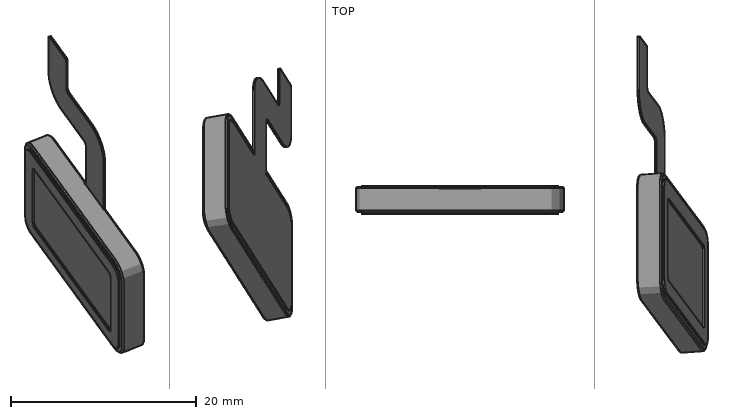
import cadquery as cq


TOTAL_HEIGHT = 29.6
TOTAL_DEPTH = 3.02

HOUSING_WIDTH = 22.4
HOUSING_HEIGHT = 14.18
HOUSING_RADIUS = 1.95
FRONT_CHAMFER = 0.18
BACK_CHAMFER = 0.15

PLATE_INSET = 0.65
PLATE_WIDTH = HOUSING_WIDTH - 2 * PLATE_INSET
PLATE_HEIGHT = HOUSING_HEIGHT - 2 * PLATE_INSET
PLATE_RADIUS = HOUSING_RADIUS - PLATE_INSET
COVER_THICKNESS = 0.2

WINDOW_WIDTH = 17.75
WINDOW_HEIGHT = 9.3
WINDOW_OFFSET = -0.15
WINDOW_RADIUS = 0.5

FLEX_THICKNESS = 0.2
PAD_STAND_OUT = 0.1
TAIL_WIDTH = 4.0
TAIL_TIP_INSET = 0.7
TAIL_ROOT_INSET = 9.2
TAIL_TIP_LENGTH = 5.0
TAIL_OUTER_RADIUS = 3.0
TAIL_INNER_RADIUS = 0.5
TAIL_TIP_RADIUS = 0.3

NOTCH_CLEARANCE = 0.2
NOTCH_DEPTH = 0.2

TAIL_TIP_LEFT = TAIL_TIP_INSET - HOUSING_WIDTH / 2
TAIL_ROOT_LEFT = TAIL_ROOT_INSET - HOUSING_WIDTH / 2

FLEX_BACK = 0.0
FLEX_FRONT = -FLEX_THICKNESS
HOUSING_BACK = -PAD_STAND_OUT
HOUSING_FRONT = COVER_THICKNESS - TOTAL_DEPTH
COVER_FRONT = -TOTAL_DEPTH
HOUSING_TOP = HOUSING_HEIGHT / 2
PAD_TOP = PLATE_HEIGHT / 2
TAIL_TOP = TOTAL_HEIGHT - HOUSING_TOP


def rounded_block(width, height, radius, front, back, centre_z=0):
    """Block with rounded corners in XZ, between two Y levels."""
    return (
        cq.Workplane("XZ", origin=(0, back, centre_z))
        .rect(width, height)
        .extrude(back - front)
        .edges("|Y")
        .fillet(radius)
    )


def make_flex():
    """Pad and stepped tail, cut from one flat sheet."""
    pad = rounded_block(PLATE_WIDTH, PLATE_HEIGHT, PLATE_RADIUS, FLEX_FRONT, FLEX_BACK)

    tip_left = TAIL_TIP_LEFT
    tip_right = tip_left + TAIL_WIDTH
    root_left = TAIL_ROOT_LEFT
    root_right = root_left + TAIL_WIDTH
    jog_top = TAIL_TOP - TAIL_TIP_LENGTH
    jog_bottom = jog_top - TAIL_WIDTH
    outline = [
        (root_left, PAD_TOP),
        (root_left, jog_bottom),
        (tip_left, jog_bottom),
        (tip_left, TAIL_TOP),
        (tip_right, TAIL_TOP),
        (tip_right, jog_top),
        (root_right, jog_top),
        (root_right, PAD_TOP),
    ]
    rounded_corners = [
        (TAIL_OUTER_RADIUS, [(tip_left, jog_bottom), (root_right, jog_top)]),
        (TAIL_INNER_RADIUS, [(root_left, jog_bottom), (tip_right, jog_top)]),
        (TAIL_TIP_RADIUS, [(tip_left, TAIL_TOP), (tip_right, TAIL_TOP)]),
    ]
    tail = cq.Workplane("XZ").polyline(outline).close().extrude(FLEX_THICKNESS)
    for radius, corners in rounded_corners:
        for x, z in corners:
            corner = cq.selectors.NearestToPointSelector((x, FLEX_FRONT / 2, z))
            tail = tail.edges("|Y").edges(corner).fillet(radius)
    return pad.union(tail)


def make_housing():
    """Chamfered block with a seat for the flex pad and a notch for its tail."""
    block = (
        rounded_block(HOUSING_WIDTH, HOUSING_HEIGHT, HOUSING_RADIUS, HOUSING_FRONT, HOUSING_BACK)
        .faces("<Y")
        .chamfer(FRONT_CHAMFER)
        .faces(">Y")
        .chamfer(BACK_CHAMFER)
    )
    pad_seat = rounded_block(PLATE_WIDTH, PLATE_HEIGHT, PLATE_RADIUS, FLEX_FRONT, FLEX_BACK)
    notch_width = TAIL_WIDTH + 2 * NOTCH_CLEARANCE
    notch_height = HOUSING_TOP - PAD_TOP
    notch_centre = (TAIL_ROOT_LEFT + TAIL_WIDTH / 2, HOUSING_BACK, PAD_TOP + notch_height / 2)
    tail_notch = (
        cq.Workplane("XZ", origin=notch_centre)
        .rect(notch_width, notch_height)
        .extrude(NOTCH_DEPTH)
    )
    return block.cut(pad_seat).cut(tail_notch)


def make_cover():
    """Front cover plate with the display window open to the housing front."""
    plate = rounded_block(PLATE_WIDTH, PLATE_HEIGHT, PLATE_RADIUS, COVER_FRONT, HOUSING_FRONT)
    window = rounded_block(
        WINDOW_WIDTH, WINDOW_HEIGHT, WINDOW_RADIUS, COVER_FRONT, HOUSING_FRONT, WINDOW_OFFSET
    )
    return plate.cut(window)


housing = make_housing()
cover = make_cover()
flex = make_flex()

bodies = [housing, cover, flex]
result = cq.Compound.makeCompound([body.solids().val() for body in bodies])